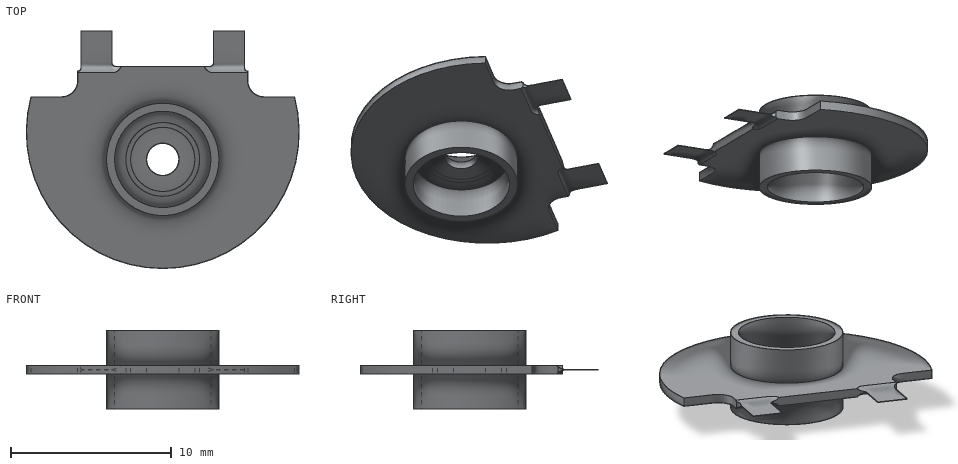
import cadquery as cq
import math

total_height = 4.91
plate_thickness = 0.55
tab_thickness = 0.03

wall_outer_diameter = 7.0
wall_inner_diameter = 6.0
sleeve_outer_diameter = 4.6
sleeve_inner_diameter = 4.0
center_hole_diameter = 2.0

disc_radius = 8.5
disc_center_y = 1.7
ear_y = 3.9
neck_half_width = 5.3
neck_fillet = 1.0
front_edge_y = 5.8

tab_inner_x = 3.15
tab_outer_x = 5.1
tab_end_y = 8.0
tab_root_y = 6.0
ramp_length = 0.6
relief_clearance = 1.0
root_fillet = tab_root_y - front_edge_y
shoulder_y = 5.5

diagonal = math.sqrt(0.5)

cut_tolerance = 1e-4


def mirrored(point):
    return (-point[0], point[1])


def plate_outline():
    """Plate and tabs in plan: the +X half from the front edge to the disc, then its mirror image."""
    disc_corner_x = math.sqrt(disc_radius**2 - (ear_y - disc_center_y) ** 2)
    outer_root_x = tab_outer_x + root_fillet
    neck_center = (neck_half_width + neck_fillet, ear_y + neck_fillet)

    inner_root_start = (tab_inner_x - root_fillet, front_edge_y)
    inner_root_mid = (
        tab_inner_x - root_fillet * (1 - diagonal),
        tab_root_y - root_fillet * diagonal,
    )
    inner_root_end = (tab_inner_x, tab_root_y)
    tab_inner_corner = (tab_inner_x, tab_end_y)
    tab_outer_corner = (tab_outer_x, tab_end_y)
    outer_root_start = (tab_outer_x, shoulder_y + root_fillet)
    outer_root_mid = (
        outer_root_x - root_fillet * diagonal,
        shoulder_y + root_fillet * (1 - diagonal),
    )
    outer_root_end = (outer_root_x, shoulder_y)
    neck_start = (neck_half_width, neck_center[1])
    neck_mid = (
        neck_center[0] - neck_fillet * diagonal,
        neck_center[1] - neck_fillet * diagonal,
    )
    neck_end = (neck_center[0], ear_y)
    disc_corner = (disc_corner_x, ear_y)
    disc_bottom = (0, disc_center_y - disc_radius)

    return (
        cq.Workplane("XY")
        .workplane(offset=-plate_thickness / 2)
        .moveTo(*inner_root_start)
        .threePointArc(inner_root_mid, inner_root_end)
        .lineTo(*tab_inner_corner)
        .lineTo(*tab_outer_corner)
        .lineTo(*outer_root_start)
        .threePointArc(outer_root_mid, outer_root_end)
        .lineTo(*neck_start)
        .threePointArc(neck_mid, neck_end)
        .lineTo(*disc_corner)
        .threePointArc(disc_bottom, mirrored(disc_corner))
        .lineTo(*mirrored(neck_end))
        .threePointArc(mirrored(neck_mid), mirrored(neck_start))
        .lineTo(*mirrored(outer_root_end))
        .threePointArc(mirrored(outer_root_mid), mirrored(outer_root_start))
        .lineTo(*mirrored(tab_outer_corner))
        .lineTo(*mirrored(tab_inner_corner))
        .lineTo(*mirrored(inner_root_end))
        .threePointArc(mirrored(inner_root_mid), mirrored(inner_root_start))
        .close()
    )


def ramp_profile(plane, flat_length):
    """Section of the material over a tab: a flat of the given length, then a concave ramp to the plate face.

    The section starts at the tab root, with the ramp running toward the plane's negative local X.
    """
    tab_top = tab_thickness / 2
    plate_top = plate_thickness / 2
    rise = plate_top - tab_top
    ramp_radius = (ramp_length**2 + rise**2) / (2 * rise)
    half_angle = math.asin(ramp_length / ramp_radius) / 2
    ramp_mid = (
        -ramp_radius * math.sin(half_angle),
        tab_top + ramp_radius * (1 - math.cos(half_angle)),
    )
    ramp_end = (-ramp_length, plate_top)
    relief_top = plate_top + relief_clearance

    return (
        cq.Workplane(plane, origin=(tab_inner_x, tab_root_y, 0))
        .moveTo(0, tab_top)
        .threePointArc(ramp_mid, ramp_end)
        .lineTo(-ramp_length, relief_top)
        .lineTo(flat_length, relief_top)
        .lineTo(flat_length, tab_top)
        .close()
    )


def tab_reliefs():
    """Material removed above the +X tab: a straight cut, and one turned about its inner root corner."""
    straight = ramp_profile("YZ", tab_end_y - tab_root_y).extrude(neck_half_width - tab_inner_x)
    corner = ramp_profile("XZ", 0).revolve(90, (0, 0, 0), (0, 1, 0))
    return straight, corner


def cylinder(diameter, height):
    """Cylinder on the Z axis, centered on Z = 0."""
    return cq.Workplane("XY").cylinder(height, diameter / 2)


def ring(outer_diameter, inner_diameter, height):
    """Ring on the Z axis, centered on Z = 0."""
    return (
        cq.Workplane("XY")
        .workplane(offset=-height / 2)
        .circle(outer_diameter / 2)
        .circle(inner_diameter / 2)
        .extrude(height)
    )


def make_plate():
    """Plate with two thin tabs, and a round wall standing on each face."""
    plate = plate_outline().extrude(plate_thickness)

    for upper_right in tab_reliefs():
        upper_pair = (upper_right, upper_right.mirror("YZ"))
        for relief in upper_pair:
            plate = plate.cut(relief, tol=cut_tolerance).cut(relief.mirror("XY"), tol=cut_tolerance)

    wall = ring(wall_outer_diameter, wall_inner_diameter, total_height)
    return plate.union(wall).cut(cylinder(sleeve_outer_diameter, plate_thickness))


plate = make_plate()
sleeve = ring(sleeve_outer_diameter, sleeve_inner_diameter, plate_thickness)
bushing = ring(sleeve_inner_diameter, center_hole_diameter, plate_thickness)

result = cq.Compound.makeCompound([plate.val(), sleeve.val(), bushing.val()])